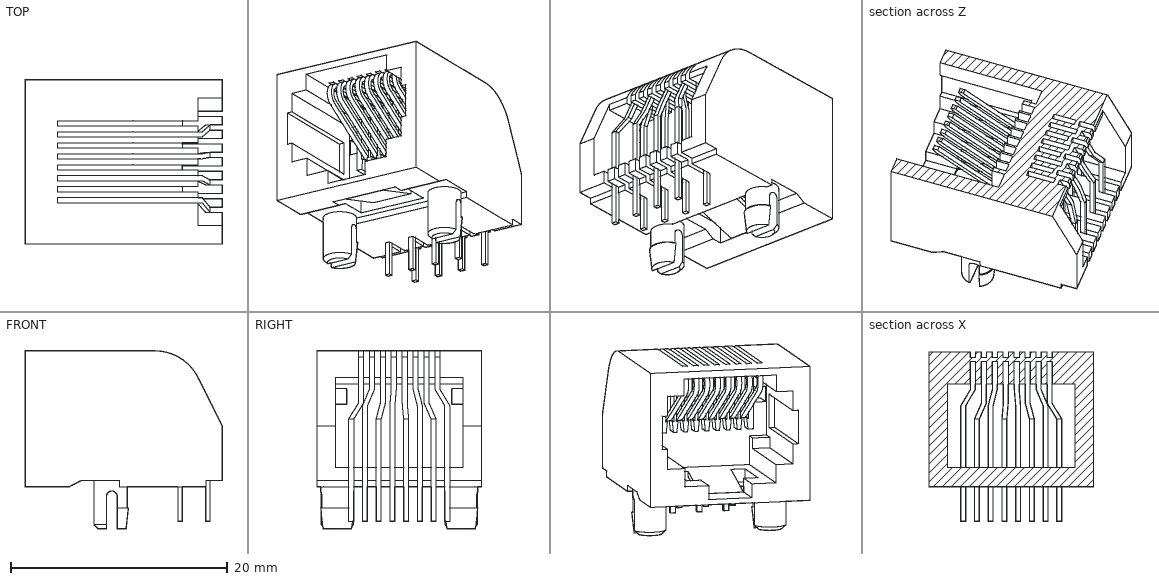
import cadquery as cq
import math

LENGTH = 18.26
WIDTH = 15.24
HEIGHT = 12.6
OVERALL_HEIGHT = 16.5
ROOF_RADIUS = 4.5
ROOF_ARC_START = 12.0
ROOF_SLOPE = math.atan(2)
FOOT_RELIEF = 0.57
FOOT_FRONT_END = 4.1
RELIEF_START = 5.2
RELIEF_END = 8.75
FOOT_REAR_END = 16.73

roof_arc_end_x = ROOF_ARC_START + ROOF_RADIUS * math.sin(ROOF_SLOPE)
roof_arc_end_z = HEIGHT - ROOF_RADIUS * (1 - math.cos(ROOF_SLOPE))
slope_end_z = roof_arc_end_z - (LENGTH - roof_arc_end_x) * math.tan(ROOF_SLOPE)

CAVITY_DEPTH = 10.0
CAVITY_WIDTH = 11.96
CAVITY_BOTTOM = 3.51
CAVITY_TOP = 10.36
LOWER_WIDTH = 8.68
FLOOR_Z = 1.8
RECESS_WIDTH = 8.82
RECESS_TOP = 11.93
GROOVE_WIDTH = 12.98
GROOVE_BOTTOM = 5.38
GROOVE_TOP = 8.51
GROOVE_DEPTH = 9.0
CORNER_STEP_TOP = 4.5

LATCH_WIDTH = 4.1
LATCH_FLOOR = 0.5
OPENING_WIDTH = 6.8
OPENING_START = 3.06
OPENING_END = 7.92
RAMP_GAP = 0.06

COMB_FRONT = 8.8
COMB_BOTTOM = 5.35
COMB_SLOT_BOTTOM = 6.37
COMB_SLOT_WIDTH = 0.77
COMB_GAP_BOTTOM_WIDTH = 0.69

WALL_BACK = 12.0
CHAMBER_WIDTH = 11.78
CHAMBER_TOP = 9.5
WINDOW_INNER_Y = 4.87
WINDOW_BOTTOM = 7.65
WINDOW_TOP = 9.08

CONTACTS = 8
CONTACT_PITCH = 1.016
PIN_PITCH = 1.27
WIRE_WIDTH = 0.47
WIRE_THICKNESS = 0.42
WIRE_TOP = 12.0
HOOK_RADIUS = 1.15
HOOK_X = 3.8
SPRING_SLOPE = math.radians(30)
BEND_RADIUS = 0.75
BEND_X = 13.8
ROOF_SLOT_START = 3.0
PIN_BOTTOM = -3.2
FRONT_JOG_TOP = 9.0
FRONT_JOG_BOTTOM = 7.5
REAR_JOG_X = 16.4
REAR_PIN_X = 17.12

PEG_X = 7.91
PEG_Y = 5.73
PEG_RADIUS = 1.55
PEG_BOTTOM = HEIGHT - OVERALL_HEIGHT
PEG_CHAMFER = 0.39
PEG_SLOT_X = 8.03
PEG_SLOT_WIDTH = 0.97
PEG_SLOT_TOP = -0.4
BARB_TOP = -1.94
BARB_TOP_RADIUS = 1.66
BARB_BOTTOM_RADIUS = 1.45


def block(x0, x1, y0, y1, z0, z1):
    """Box between opposite corners."""
    return cq.Workplane("XY").box(x1 - x0, y1 - y0, z1 - z0, centered=False).translate((x0, y0, z0))


def centred_block(x0, x1, width, z0, z1):
    """Box that is symmetric about Y = 0."""
    return block(x0, x1, -width / 2, width / 2, z0, z1)


def extrude_y(outline, y, width):
    """Extrude a closed XZ outline to a slab centred on y."""
    return outline.extrude(width / 2, both=True).translate((0, y, 0))


def polar(centre, radius, angle):
    """XZ point on a circle."""
    return (centre[0] + radius * math.cos(angle), centre[1] + radius * math.sin(angle))


def along(point, direction, distance):
    """XZ point at a distance from another, in a direction given by its angle."""
    return polar(point, distance, direction)


def contact_y(index):
    """Y of a contact in the roof; contact 0 is on the +Y side."""
    return ((CONTACTS - 1) / 2 - index) * CONTACT_PITCH


def pin_y(index):
    """Y of the board pin of a contact."""
    return ((CONTACTS - 1) / 2 - index) * PIN_PITCH


def make_shell():
    """Solid housing outline with rounded roof, sloped rear and stepped underside."""
    arc_centre = (ROOF_ARC_START, HEIGHT - ROOF_RADIUS)
    arc_middle = polar(arc_centre, ROOF_RADIUS, math.pi / 2 - ROOF_SLOPE / 2)
    outline = (
        cq.Workplane("XZ")
        .moveTo(0, 0)
        .lineTo(FOOT_FRONT_END, 0)
        .lineTo(RELIEF_START, FOOT_RELIEF)
        .lineTo(RELIEF_END, FOOT_RELIEF)
        .lineTo(RELIEF_END, 0)
        .lineTo(FOOT_REAR_END, 0)
        .lineTo(FOOT_REAR_END, FOOT_RELIEF)
        .lineTo(LENGTH, FOOT_RELIEF)
        .lineTo(LENGTH, slope_end_z)
        .lineTo(roof_arc_end_x, roof_arc_end_z)
        .threePointArc(arc_middle, (ROOF_ARC_START, HEIGHT))
        .lineTo(0, HEIGHT)
        .close()
    )
    return extrude_y(outline, 0, WIDTH)


def make_plug_cavity():
    """Stepped opening for the plug, with its latch channel and the hole through the floor."""
    cavity = centred_block(0, CAVITY_DEPTH, CAVITY_WIDTH, CAVITY_BOTTOM, CAVITY_TOP)
    cavity = cavity.union(centred_block(0, CAVITY_DEPTH, LOWER_WIDTH, FLOOR_Z, CAVITY_TOP))
    cavity = cavity.union(centred_block(0, CAVITY_DEPTH, RECESS_WIDTH, CAVITY_BOTTOM, RECESS_TOP))
    cavity = cavity.union(centred_block(0, GROOVE_DEPTH, GROOVE_WIDTH, GROOVE_BOTTOM, GROOVE_TOP))
    cavity = cavity.union(centred_block(0, OPENING_END, LATCH_WIDTH, LATCH_FLOOR, FLOOR_Z))
    cavity = cavity.union(centred_block(OPENING_START, OPENING_END, OPENING_WIDTH, 0, FLOOR_Z))
    corner_steps = centred_block(COMB_FRONT, CAVITY_DEPTH, CAVITY_WIDTH, CAVITY_BOTTOM, CORNER_STEP_TOP)
    corner_steps = corner_steps.cut(
        centred_block(COMB_FRONT, CAVITY_DEPTH, LOWER_WIDTH, CAVITY_BOTTOM, CORNER_STEP_TOP)
    )
    return cavity.cut(corner_steps)


def make_latch_ramp():
    """Tongue that rises from the latch floor to the cavity floor, fixed at its rear end."""
    tip_x = OPENING_START + RAMP_GAP
    outline = cq.Workplane("XZ").polyline([
        (tip_x, 0),
        (OPENING_END, FLOOR_Z - LATCH_FLOOR),
        (OPENING_END, FLOOR_Z),
        (tip_x, LATCH_FLOOR),
    ]).close()
    return extrude_y(outline, 0, LATCH_WIDTH)


def make_comb():
    """Toothed block that keeps the free ends of the contacts apart."""
    depth = CAVITY_DEPTH - COMB_FRONT
    comb = centred_block(COMB_FRONT, CAVITY_DEPTH, RECESS_WIDTH, COMB_BOTTOM, CAVITY_TOP)
    half_slot = COMB_SLOT_WIDTH / 2
    for index in range(CONTACTS):
        y = contact_y(index)
        slot = block(COMB_FRONT, CAVITY_DEPTH, y - half_slot, y + half_slot, COMB_SLOT_BOTTOM, CAVITY_TOP)
        gap = (
            cq.Workplane("YZ", origin=(COMB_FRONT, y, 0))
            .polyline([
                (-COMB_GAP_BOTTOM_WIDTH / 2, COMB_BOTTOM),
                (COMB_GAP_BOTTOM_WIDTH / 2, COMB_BOTTOM),
                (WIRE_WIDTH / 2, COMB_SLOT_BOTTOM),
                (-WIRE_WIDTH / 2, COMB_SLOT_BOTTOM),
            ])
            .close()
            .extrude(depth)
        )
        comb = comb.cut(slot).cut(gap)
    return comb


def make_rear_chamber():
    """Open space behind the cavity wall, with the two windows through that wall."""
    half_width = CHAMBER_WIDTH / 2
    chamber = centred_block(WALL_BACK, LENGTH, CHAMBER_WIDTH, FLOOR_Z, CHAMBER_TOP)
    chamber = chamber.union(centred_block(roof_arc_end_x, LENGTH, CHAMBER_WIDTH, FLOOR_Z, HEIGHT))
    for y0, y1 in ((-half_width, -WINDOW_INNER_Y), (WINDOW_INNER_Y, half_width)):
        chamber = chamber.union(block(CAVITY_DEPTH, WALL_BACK, y0, y1, WINDOW_BOTTOM, WINDOW_TOP))
    return chamber


def cut_wire_slots(body):
    """Cut the roof slots over the contacts and the open-ended pin slots in the rear plate."""
    half = WIRE_WIDTH / 2
    slot_starts = (BEND_X + BEND_RADIUS - WIRE_THICKNESS, REAR_PIN_X - WIRE_THICKNESS)
    wire_underside = WIRE_TOP - WIRE_THICKNESS
    for index in range(CONTACTS):
        y = contact_y(index)
        body = body.cut(block(ROOF_SLOT_START, WALL_BACK, y - half, y + half, wire_underside, HEIGHT))
        body = body.cut(block(WALL_BACK, roof_arc_end_x, y - half, y + half, CHAMBER_TOP, HEIGHT))
        y = pin_y(index)
        body = body.cut(block(slot_starts[index % 2], LENGTH, y - half, y + half, 0, FLOOR_Z))
    return body


def make_contact_spring(y, bend_angle, drop):
    """Spring, front hook, roof run and rear bend of one contact, with a straight drop after the bend."""
    hook_centre = (HOOK_X, WIRE_TOP - HOOK_RADIUS)
    bend_centre = (BEND_X, WIRE_TOP - BEND_RADIUS)
    hook_end = 1.5 * math.pi - SPRING_SLOPE
    hook_middle = (hook_end + math.pi / 2) / 2
    bend_end = math.pi / 2 - bend_angle
    bend_middle = (bend_end + math.pi / 2) / 2
    hook_inner = HOOK_RADIUS - WIRE_THICKNESS
    bend_inner = BEND_RADIUS - WIRE_THICKNESS

    spring_start = polar(hook_centre, HOOK_RADIUS, hook_end)
    spring_length = (spring_start[1] - COMB_SLOT_BOTTOM) / math.sin(SPRING_SLOPE)
    spring_tip = along(spring_start, -SPRING_SLOPE, spring_length)
    spring_tip_inner = along(spring_tip, math.pi / 2 - SPRING_SLOPE, WIRE_THICKNESS)
    drop_outer = along(polar(bend_centre, BEND_RADIUS, bend_end), -bend_angle, drop)
    inner_start = polar(bend_centre, bend_inner, bend_end)
    inner_drop = (inner_start[1] - drop_outer[1]) / math.sin(bend_angle)
    drop_inner = along(inner_start, -bend_angle, inner_drop)

    outline = (
        cq.Workplane("XZ")
        .moveTo(*spring_tip)
        .lineTo(*spring_start)
        .threePointArc(polar(hook_centre, HOOK_RADIUS, hook_middle), (HOOK_X, WIRE_TOP))
        .lineTo(BEND_X, WIRE_TOP)
        .threePointArc(
            polar(bend_centre, BEND_RADIUS, bend_middle), polar(bend_centre, BEND_RADIUS, bend_end)
        )
        .lineTo(*drop_outer)
        .lineTo(*drop_inner)
        .lineTo(*inner_start)
        .threePointArc(polar(bend_centre, bend_inner, bend_middle), (BEND_X, WIRE_TOP - WIRE_THICKNESS))
        .lineTo(HOOK_X, WIRE_TOP - WIRE_THICKNESS)
        .threePointArc(polar(hook_centre, hook_inner, hook_middle), polar(hook_centre, hook_inner, hook_end))
        .lineTo(*spring_tip_inner)
        .close()
    )
    return extrude_y(outline, y, WIRE_WIDTH)


def make_leg(top, top_thickness, bottom, bottom_thickness):
    """Straight leg between two horizontal ends, each given by the (x, y, z) middle of its outer edge."""
    return (
        cq.Workplane("XY", origin=top)
        .center(-top_thickness / 2, 0)
        .rect(top_thickness, WIRE_WIDTH)
        .workplane(offset=bottom[2] - top[2])
        .center(
            bottom[0] - bottom_thickness / 2 - top[0] + top_thickness / 2,
            bottom[1] - top[1],
        )
        .rect(bottom_thickness, WIRE_WIDTH)
        .loft(ruled=True)
    )


def make_front_row_contact(index):
    """Contact that bends straight down and jogs sideways to its pin."""
    outer_x = BEND_X + BEND_RADIUS
    drop = WIRE_TOP - BEND_RADIUS - FRONT_JOG_TOP
    jog_top = (outer_x, contact_y(index), FRONT_JOG_TOP)
    jog_bottom = (outer_x, pin_y(index), FRONT_JOG_BOTTOM)
    pin_end = (outer_x, pin_y(index), PIN_BOTTOM)
    contact = make_contact_spring(contact_y(index), math.pi / 2, drop)
    contact = contact.union(make_leg(jog_top, WIRE_THICKNESS, jog_bottom, WIRE_THICKNESS))
    return contact.union(make_leg(jog_bottom, WIRE_THICKNESS, pin_end, WIRE_THICKNESS))


def make_rear_row_contact(index):
    """Contact that slopes down parallel to the housing and jogs to its pin on the way."""
    bend_end_x = BEND_X + BEND_RADIUS * math.sin(ROOF_SLOPE)
    bend_end_z = WIRE_TOP - BEND_RADIUS * (1 - math.cos(ROOF_SLOPE))
    jog_top_z = bend_end_z - (REAR_JOG_X - bend_end_x) * math.tan(ROOF_SLOPE)
    jog_bottom_z = jog_top_z - (REAR_PIN_X - REAR_JOG_X) * math.tan(ROOF_SLOPE)
    drop = (REAR_JOG_X - bend_end_x) / math.cos(ROOF_SLOPE)
    slope_thickness = WIRE_THICKNESS / math.sin(ROOF_SLOPE)
    jog_top = (REAR_JOG_X, contact_y(index), jog_top_z)
    jog_bottom = (REAR_PIN_X, pin_y(index), jog_bottom_z)
    pin_end = (REAR_PIN_X, pin_y(index), PIN_BOTTOM)
    contact = make_contact_spring(contact_y(index), ROOF_SLOPE, drop)
    contact = contact.union(make_leg(jog_top, slope_thickness, jog_bottom, WIRE_THICKNESS))
    return contact.union(make_leg(jog_bottom, WIRE_THICKNESS, pin_end, WIRE_THICKNESS))


def make_peg():
    """Split peg: plain chamfered front half, barbed rear half."""
    axis = cq.Workplane("XZ")
    plain = axis.polyline([
        (0, PEG_BOTTOM),
        (PEG_RADIUS - PEG_CHAMFER, PEG_BOTTOM),
        (PEG_RADIUS, PEG_BOTTOM + PEG_CHAMFER),
        (PEG_RADIUS, FOOT_RELIEF),
        (0, FOOT_RELIEF),
    ]).close().revolve(360, (0, 0), (0, 1))
    barbed = axis.polyline([
        (0, PEG_BOTTOM),
        (BARB_BOTTOM_RADIUS, PEG_BOTTOM),
        (BARB_TOP_RADIUS, BARB_TOP),
        (PEG_RADIUS, BARB_TOP),
        (PEG_RADIUS, FOOT_RELIEF),
        (0, FOOT_RELIEF),
    ]).close().revolve(360, (0, 0), (0, 1))
    split_x = PEG_SLOT_X - PEG_X
    reach = 2 * PEG_RADIUS
    rear_half = block(split_x, reach, -reach, reach, PEG_BOTTOM, FOOT_RELIEF)
    slot_radius = PEG_SLOT_WIDTH / 2
    slot_outline = (
        cq.Workplane("XZ")
        .moveTo(split_x - slot_radius, PEG_BOTTOM)
        .lineTo(split_x - slot_radius, PEG_SLOT_TOP - slot_radius)
        .threePointArc((split_x, PEG_SLOT_TOP), (split_x + slot_radius, PEG_SLOT_TOP - slot_radius))
        .lineTo(split_x + slot_radius, PEG_BOTTOM)
        .close()
    )
    peg = plain.cut(rear_half).union(barbed.intersect(rear_half))
    return peg.cut(extrude_y(slot_outline, 0, 2 * reach)).translate((PEG_X, 0, 0))


housing = make_shell().cut(make_plug_cavity()).union(make_comb()).cut(make_rear_chamber())
housing = cut_wire_slots(housing).union(make_latch_ramp())
for side in (-1, 1):
    housing = housing.union(make_peg().translate((0, side * PEG_Y, 0)))

result = housing
for contact_index in range(0, CONTACTS, 2):
    result = result.union(make_front_row_contact(contact_index))
    result = result.union(make_rear_row_contact(contact_index + 1))